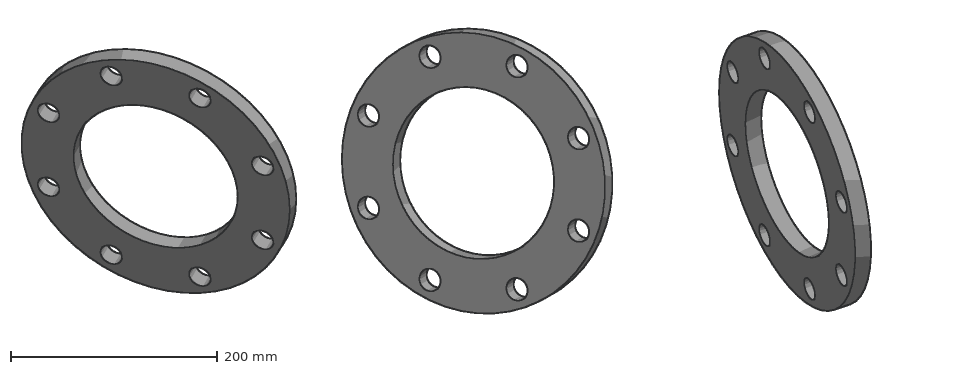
import cadquery as cq

outer_diameter = 279.5
bore_diameter = 170.7
thickness = 17.5

bolt_hole_count = 8
bolt_hole_diameter = 22.4
bolt_circle_diameter = 241.0
bolt_spacing_angle = 360.0 / bolt_hole_count
first_bolt_angle = bolt_spacing_angle / 2

ring = (
    cq.Workplane("XZ")
    .circle(outer_diameter / 2)
    .circle(bore_diameter / 2)
    .extrude(thickness)
)

bolt_holes = (
    cq.Workplane("XZ")
    .polarArray(bolt_circle_diameter / 2, first_bolt_angle, 360, bolt_hole_count)
    .circle(bolt_hole_diameter / 2)
    .extrude(thickness)
)

result = ring.cut(bolt_holes)